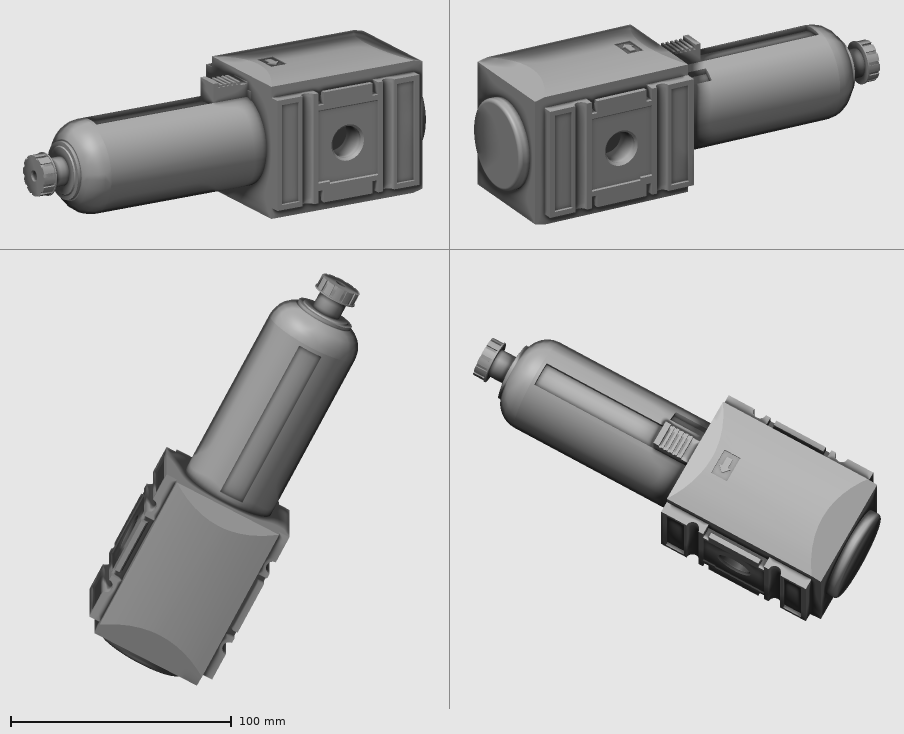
import cadquery as cq
import math


block_width = 52.4
block_length = 75.0
edge_height = 63.0
crown_height = 67.2
bevel_length = 8.8
lid_thickness = 4.9
overall_length = 194.8
bowl_total_length = 109.7
lid_end = block_length + lid_thickness
cap_diameter = 43.0
cap_end = overall_length - bowl_total_length
cap_fillet = 1.8

overall_width = 63.0
flange_height = 52.4
side_x = overall_width / 2
flange_top = flange_height / 2
block_side = block_width / 2
middle_y = block_length / 2
groove_diameter = 6.0
groove_offset = 21.2
label_width = 9.4
label_height = 47.5
label_offset = 30.4
label_depth = 1.5
clamp_length = 31.5
clamp_depth = 5.8
tab_length = 25.7
tab_tip_thickness = 2.3
tab_root_thickness = 3.9

panel_half_height = 18.0
panel_depth = 0.5
panel_step_length = 6.0
panel_step_height = 1.2
port_diameter = 15.0
port_mouth_diameter = 17.1
port_depth = 13.6

field_length = 12.5
field_width = 8.2
field_y = 16.0
field_floor = 32.7
arrow_half_length = 3.9
arrow_head_x = 0.8
arrow_shaft_half = 1.46
arrow_head_half = 3.0

bowl_diameter = 43.8
bowl_radius = bowl_diameter / 2
bowl_straight = 81.8
dome_end = 93.0
dome_end_diameter = 28.5
collar_diameter = 27.0
collar_end = 94.5
boss_diameter = 23.0
boss_face_diameter = 22.0
boss_end = 95.0
sunk_radius = 19.5
slot_width = 11.5
slot_start = 3.0
slot_end = 80.0
notch_wall_x = -10.1
notch_length = 18.5

latch_length = 18.3
latch_low_top = 27.3
latch_lip_top = 28.0
tooth_base = 27.9
tooth_top = 29.0
stop_top = 30.2
stop_start = 15.5
tooth_start = 4.0
tooth_pitch = 2.3
tooth_width = 1.2
tooth_count = 5
plate_width = 17.3
plate_top = 24.4
plate_thickness = 0.5
latch_root = 17.5

stem_diameter = 13.5
knob_diameter = 20.0
knob_start = 103.5
knob_rim = 0.5
knurl_diameter = 19.0
flute_count = 12
flute_width = 1.5
flute_floor_radius = 8.8
drain_hole_diameter = 4.0
drain_mouth_diameter = 5.3
drain_hole_depth = 5.8


def box(x_start, x_end, y_start, y_end, z_start, z_end):
    corner = cq.Vector(x_start, y_start, z_start)
    return cq.Workplane(cq.Solid.makeBox(x_end - x_start, y_end - y_start, z_end - z_start, corner))


def cylinder_y(diameter, y_start, y_end):
    return cq.Workplane(
        cq.Solid.makeCylinder(diameter / 2, y_end - y_start, cq.Vector(0, y_start, 0), cq.Vector(0, 1, 0))
    )


def on_both_sides(body):
    """The shape on the -X side together with its mirror image on the +X side."""
    return body, body.mirror("YZ")


def crowned_block():
    edge = edge_height / 2
    crown = crown_height / 2
    block = (
        cq.Workplane("XZ")
        .moveTo(-block_side, -edge)
        .threePointArc((0, -crown), (block_side, -edge))
        .lineTo(block_side, edge)
        .threePointArc((0, crown), (-block_side, edge))
        .close()
        .extrude(-lid_end)
    )
    slope = (crown - edge) / bevel_length
    lid_edge = edge - slope * lid_thickness
    bevel_profile = (
        cq.Workplane("YZ")
        .polyline(
            [
                (0, -edge),
                (bevel_length, -crown),
                (block_length - bevel_length, -crown),
                (lid_end, -lid_edge),
                (lid_end, lid_edge),
                (block_length - bevel_length, crown),
                (bevel_length, crown),
                (0, edge),
            ]
        )
        .close()
        .extrude(block_side, both=True)
    )
    return block.intersect(bevel_profile)


def clamp_opening():
    """Notch in the upper flange edge around a tab whose back leans towards the block."""
    floor = flange_top - clamp_depth
    start = middle_y - clamp_length / 2
    opening = box(-side_x, -block_side, start, start + clamp_length, floor, flange_top)
    tab = (
        cq.Workplane("XZ", origin=(0, middle_y - tab_length / 2, 0))
        .polyline(
            [
                (-side_x, floor),
                (-side_x + tab_root_thickness, floor),
                (-side_x + tab_tip_thickness, flange_top),
                (-side_x, flange_top),
            ]
        )
        .close()
        .extrude(-tab_length)
    )
    return opening.cut(tab)


def port_panel():
    """Sunk panel around the port with sloping upper and lower walls; one lower corner is raised."""
    start = middle_y - clamp_length / 2
    end = start + clamp_length
    step_end = start + panel_step_length

    def stretch(y_start, y_end, bottom):
        profile = [
            (-side_x, bottom),
            (-side_x + panel_depth, bottom + panel_depth),
            (-side_x + panel_depth, panel_half_height - panel_depth),
            (-side_x, panel_half_height),
        ]
        return (
            cq.Workplane("XZ", origin=(0, y_start, 0))
            .polyline(profile)
            .close()
            .extrude(y_start - y_end)
        )

    raised_bottom = -panel_half_height + panel_step_height
    return stretch(start, step_end, raised_bottom).union(stretch(step_end, end, -panel_half_height))


def port():
    floor_x = -side_x + panel_depth
    mouth_depth = (port_mouth_diameter - port_diameter) / 2
    profile = [
        (floor_x, 0),
        (floor_x, port_mouth_diameter / 2),
        (floor_x + mouth_depth, port_diameter / 2),
        (floor_x + port_depth, port_diameter / 2),
        (floor_x + port_depth, 0),
    ]
    return (
        cq.Workplane("XY", origin=(0, middle_y, 0))
        .polyline(profile)
        .close()
        .revolve(360, (0, 0, 0), (1, 0, 0))
    )


def flange():
    """Mounting flange on the -X side with its grooves, label fields and clamp openings."""
    body = box(-side_x, -block_side, 0, block_length, -flange_top, flange_top)
    for side in (-1, 1):
        groove = (
            cq.Workplane("XY")
            .center(-side_x, middle_y + side * groove_offset)
            .circle(groove_diameter / 2)
            .extrude(flange_top, both=True)
        )
        label_y = middle_y + side * label_offset
        label = box(
            -side_x, -side_x + label_depth,
            label_y - label_width / 2, label_y + label_width / 2,
            -label_height / 2, label_height / 2,
        )
        body = body.cut(groove).cut(label)
    upper_opening = clamp_opening()
    return body.cut(upper_opening).cut(upper_opening.mirror("XY")).cut(port_panel())


def flow_arrow_field():
    """Sunk field on the top with the arrow, pointing to +X, left standing."""
    depth = crown_height / 2 - field_floor
    field = (
        cq.Workplane("XY", origin=(0, field_y, field_floor))
        .rect(field_length, field_width)
        .extrude(depth)
    )
    arrow = (
        cq.Workplane("XY", origin=(0, field_y, field_floor))
        .polyline(
            [
                (-arrow_half_length, -arrow_shaft_half),
                (arrow_head_x, -arrow_shaft_half),
                (arrow_head_x, -arrow_head_half),
                (arrow_half_length, 0),
                (arrow_head_x, arrow_head_half),
                (arrow_head_x, arrow_shaft_half),
                (-arrow_half_length, arrow_shaft_half),
            ]
        )
        .close()
        .extrude(depth)
    )
    return field.cut(arrow)


def make_housing():
    cap = cylinder_y(cap_diameter, lid_end, cap_end).faces(">Y").edges().fillet(cap_fillet)
    body = crowned_block().union(cap)
    for side_flange in on_both_sides(flange()):
        body = body.union(side_flange)
    for side_port in on_both_sides(port()):
        body = body.cut(side_port)
    return body.cut(flow_arrow_field())


def bowl_shell():
    """Turned body of the bowl: wall, rounded end, collar, boss, drain stem and unfluted knob."""
    collar_radius = collar_diameter / 2
    dome_run = dome_end - bowl_straight
    dome_drop = bowl_radius - dome_end_diameter / 2
    dome_radius = (dome_drop**2 + dome_run**2) / (2 * dome_drop)
    half_angle = math.asin(dome_run / dome_radius) / 2
    dome_middle = (
        bowl_radius - dome_radius * (1 - math.cos(half_angle)),
        -bowl_straight - dome_radius * math.sin(half_angle),
    )
    mouth_depth = (drain_mouth_diameter - drain_hole_diameter) / 2
    return (
        cq.Workplane("XY")
        .moveTo(0, 0)
        .lineTo(bowl_radius, 0)
        .lineTo(bowl_radius, -bowl_straight)
        .threePointArc(dome_middle, (dome_end_diameter / 2, -dome_end))
        .lineTo(collar_radius, -dome_end)
        .lineTo(collar_radius, -collar_end)
        .lineTo(boss_diameter / 2, -collar_end)
        .lineTo(boss_face_diameter / 2, -boss_end)
        .lineTo(stem_diameter / 2, -boss_end)
        .lineTo(stem_diameter / 2, -knob_start)
        .lineTo(knob_diameter / 2, -knob_start)
        .lineTo(knob_diameter / 2, -knob_start - knob_rim)
        .lineTo(knurl_diameter / 2, -knob_start - knob_rim)
        .lineTo(knurl_diameter / 2, -bowl_total_length)
        .lineTo(drain_mouth_diameter / 2, -bowl_total_length)
        .lineTo(drain_hole_diameter / 2, -bowl_total_length + mouth_depth)
        .lineTo(drain_hole_diameter / 2, -bowl_total_length + drain_hole_depth)
        .lineTo(0, -bowl_total_length + drain_hole_depth)
        .close()
        .revolve(360, (0, 0, 0), (0, 1, 0))
    )


def knob_flutes():
    flute = box(
        -flute_width / 2, flute_width / 2,
        -bowl_total_length, -knob_start - knob_rim,
        flute_floor_radius, knob_diameter,
    )
    pitch = 360 / flute_count
    first = flute.rotate((0, 0, 0), (0, 1, 0), pitch / 2)
    flutes = first
    for index in range(1, flute_count):
        flutes = flutes.union(first.rotate((0, 0, 0), (0, 1, 0), index * pitch))
    return flutes


def wall_slot(start):
    """Upper long recess in the bowl wall, with a round floor."""
    half = slot_width / 2
    slot = box(-half, half, -slot_end, -start, 0, bowl_radius)
    return slot.cut(cylinder_y(2 * sunk_radius, -slot_end, -start))


def index_notch():
    """Short recess beside the latch, between a 45-degree radial wall and an upright wall."""
    reach = bowl_diameter
    wedge = (
        cq.Workplane("XZ")
        .polyline([(0, 0), (-reach, reach), (0, reach)])
        .close()
        .extrude(notch_length)
    )
    beside = box(-reach, notch_wall_x, -notch_length, 0, 0, reach)
    return wedge.intersect(beside).cut(cylinder_y(2 * sunk_radius, -notch_length, 0))


def latch():
    half = slot_width / 2
    body = box(-half, half, -latch_length, 0, latch_root, latch_low_top)
    body = body.union(box(-half, half, -plate_thickness, 0, latch_root, latch_lip_top))
    body = body.union(box(-half, half, -stop_start, -tooth_start, latch_root, tooth_base))
    body = body.union(box(-half, half, -latch_length, -stop_start, latch_root, stop_top))
    for index in range(tooth_count):
        start = tooth_start + index * tooth_pitch
        body = body.union(box(-half, half, -start - tooth_width, -start, latch_root, tooth_top))
    plate_half = plate_width / 2
    return body.union(box(-plate_half, plate_half, -plate_thickness, 0, latch_root, plate_top))


def make_bowl():
    return (
        bowl_shell()
        .cut(wall_slot(slot_start))
        .cut(wall_slot(slot_start).mirror("XY"))
        .cut(index_notch())
        .cut(knob_flutes())
        .union(latch())
    )


housing = make_housing()
bowl = make_bowl()
result = cq.Compound.makeCompound([housing.val(), bowl.val()])